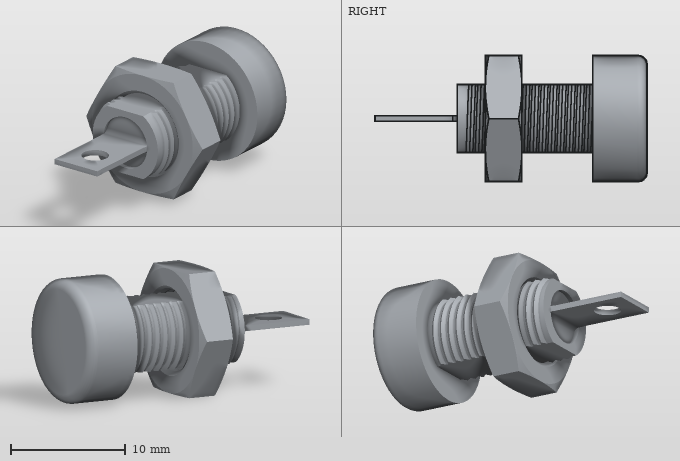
import cadquery as cq
import math


head_diameter = 11.05
head_length = 4.76
head_rim_radius = 0.82
core_radius = 3.575
shank_length = 11.88
flats_width = 5.97

thread_pitch = 25.4 / 32
thread_turns = 14
thread_height = 0.28
thread_base_width = 0.6
thread_embed = 0.08
thread_tip_offset = 0.61

nut_across_flats = head_diameter
nut_across_corners = nut_across_flats / math.cos(math.pi / 6)
nut_thickness = 3.2
nut_head_gap = 6.2
nut_corner_drop = 0.3
nut_mouth_radius = 3.98

pin_radius = 2.39
pin_recess = 0.43
tab_width = 4.67
tab_thickness = 0.5
tab_length = 7.19
tab_root_fillet = pin_recess
tab_round_root = 0.39
tab_hole_diameter = 2.4
tab_hole_end_distance = 2.8

shank_tip = -shank_length


def cylinder(radius, y_start, length):
    """Solid cylinder on the Y axis, from y_start toward +Y."""
    return cq.Workplane("XZ", origin=(0, y_start, 0)).circle(radius).extrude(-length)


def centred_box(width, y_start, length, height):
    """Box centred on the Y axis, from y_start toward +Y."""
    return cq.Workplane("XZ", origin=(0, y_start, 0)).rect(width, height).extrude(-length)


def make_thread_ridge():
    """Left-handed V ridge, starting above the top flat near the shank tip."""
    crest_radius = core_radius + thread_height
    inner_radius = core_radius - thread_embed
    half_base = thread_base_width / 2 * (crest_radius - inner_radius) / thread_height
    thread_length = thread_pitch * thread_turns
    helix = cq.Wire.makeHelix(thread_pitch, thread_length, core_radius, lefthand=True)
    ridge = (
        cq.Workplane("XZ")
        .moveTo(inner_radius, -half_base)
        .lineTo(crest_radius, 0)
        .lineTo(inner_radius, half_base)
        .close()
        .sweep(cq.Workplane(helix), isFrenet=True)
    )
    return (
        ridge.rotate((0, 0, 0), (0, 0, 1), -90)
        .rotate((0, 0, 0), (1, 0, 0), -90)
        .translate((0, shank_tip + thread_tip_offset, 0))
    )


def make_threaded_rod():
    """Full round threaded rod, before its flats are cut."""
    return cylinder(core_radius, shank_tip, shank_length).union(make_thread_ridge())


def make_housing(rod, pin_space):
    head = cylinder(head_diameter / 2, 0, head_length).faces(">Y").edges().fillet(head_rim_radius)
    shank = rod.intersect(centred_box(head_diameter, shank_tip, shank_length, flats_width))
    return head.union(shank).cut(pin_space)


def make_nut(rod):
    near_face = -nut_head_gap
    far_face = near_face - nut_thickness
    blank = (
        cq.Workplane("XZ", origin=(0, near_face, 0))
        .polygon(6, nut_across_corners)
        .extrude(nut_thickness)
    )
    flat_radius = nut_across_flats / 2
    corner_radius = nut_across_corners / 2
    chamfer_envelope = (
        cq.Workplane("XY")
        .moveTo(0, far_face)
        .lineTo(flat_radius, far_face)
        .lineTo(corner_radius, far_face + nut_corner_drop)
        .lineTo(corner_radius, near_face - nut_corner_drop)
        .lineTo(flat_radius, near_face)
        .lineTo(0, near_face)
        .close()
        .revolve(360, (0, 0, 0), (0, 1, 0))
    )
    nut = blank.intersect(chamfer_envelope).cut(rod)
    for face, inward in ((near_face, -1), (far_face, 1)):
        countersink = (
            cq.Workplane("XY")
            .moveTo(0, face)
            .lineTo(nut_mouth_radius, face)
            .lineTo(0, face + inward * nut_mouth_radius)
            .close()
            .revolve(360, (0, 0, 0), (0, 1, 0))
        )
        nut = nut.cut(countersink)
    return nut


def make_terminal():
    pin_end = shank_tip + pin_recess
    tab_end = shank_tip - tab_length
    root_end = shank_tip - tab_round_root
    half_thickness = tab_thickness / 2
    half_root = half_thickness + tab_root_fillet
    pin = cylinder(pin_radius, pin_end, -pin_end)

    fillet_end = pin_end - tab_root_fillet
    middle = tab_root_fillet * (1 - math.sqrt(0.5))
    root = (
        cq.Workplane("YZ", origin=(-pin_radius, 0, 0))
        .moveTo(pin_end, half_root)
        .threePointArc((pin_end - middle, half_thickness + middle), (fillet_end, half_thickness))
        .lineTo(root_end, half_thickness)
        .lineTo(root_end, -half_thickness)
        .lineTo(fillet_end, -half_thickness)
        .threePointArc((pin_end - middle, -half_thickness - middle), (pin_end, -half_root))
        .close()
        .extrude(2 * pin_radius)
        .intersect(cylinder(pin_radius, root_end, pin_end - root_end))
    )

    tab = centred_box(tab_width, tab_end, root_end - tab_end, tab_thickness)
    hole = (
        cq.Workplane("XY", origin=(0, tab_end + tab_hole_end_distance, 0))
        .circle(tab_hole_diameter / 2)
        .extrude(tab_thickness, both=True)
    )
    return pin.union(root).union(tab).cut(hole)


threaded_rod = make_threaded_rod()
pin_space = cylinder(pin_radius, shank_tip, shank_length)

housing = make_housing(threaded_rod, pin_space)
nut = make_nut(threaded_rod)
terminal = make_terminal()

result = cq.Compound.makeCompound([housing.val(), nut.val(), terminal.val()])